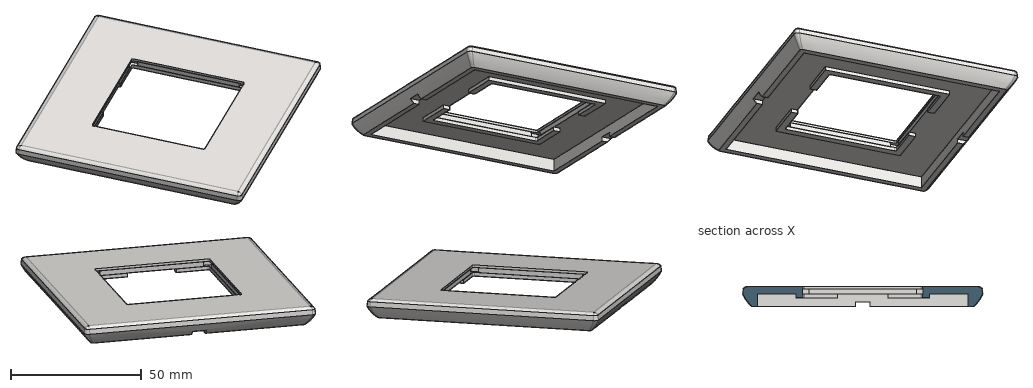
import cadquery as cq

side = 92.0
height = 7.7
widest_z = 4.9
shoulder_z = 6.8
shoulder_inset = 0.3
top_inset = 2.0
bottom_inset = 3.5
flank_bow = 0.4
round_inset = 0.8
round_z = 7.4
widest_corner = 1.7
top_corner = 0.1
bottom_corner = 0.8

window = 45.6
window_radius = 0.55
lip_z = 6.7
ledge_z = 4.8
groove_depth = 0.2
pocket_reach = 2.2
pocket_depth = 1.5

collar_wall = 2.8
collar_z = 3.3
rim_wall = 2.3
collar_notch = 19.3
rim_notch = 5.5
rim_notch_height = 1.7


def block(length, width, bottom, top):
    """Upright box centred on the Z axis between two levels."""
    return cq.Workplane("XY").workplane(offset=bottom).rect(length, width).extrude(top - bottom)


def rounded_square(inset, radius, level):
    """Horizontal rounded-square wire, set in from the widest outline."""
    width = side - 2 * inset
    column = block(width, width, level, level + height).edges("|Z").fillet(radius)
    return column.faces("<Z").wires().val()


def outer_body():
    """Square plate lofted as a bowed lower flank, a drafted edge and a rounded top edge."""
    bottom = rounded_square(bottom_inset, bottom_corner, 0)
    flank_corner = (bottom_corner + widest_corner) / 2
    flank = rounded_square(bottom_inset / 2 - flank_bow, flank_corner, widest_z / 2)
    widest = rounded_square(0, widest_corner, widest_z)
    shoulder = rounded_square(shoulder_inset, widest_corner - shoulder_inset, shoulder_z)
    top_round = rounded_square(round_inset, widest_corner - round_inset, round_z)
    top = rounded_square(top_inset, top_corner, height)

    lower = cq.Solid.makeLoft([bottom, flank, widest])
    edge = cq.Solid.makeLoft([widest, shoulder])
    upper = cq.Solid.makeLoft([shoulder, top_round, top])
    return cq.Workplane(lower).union(cq.Workplane(edge)).union(cq.Workplane(upper))


def underside_hollow():
    """Space between rim and collar, open below, leaving the gapped collar standing."""
    cavity_side = side - 2 * (bottom_inset + rim_wall)
    collar_side = window + 2 * collar_wall
    cavity = block(cavity_side, cavity_side, 0, ledge_z)
    collar = block(collar_side, collar_side, collar_z, ledge_z)
    gap = block(collar_side, collar_notch, collar_z, ledge_z)
    return cavity.cut(collar.cut(gap))


def window_cutter():
    """Rounded window opening with a shallow groove and corner pockets behind its lip."""
    opening = block(window, window, 0, height).edges("|Z").fillet(window_radius)
    groove_side = window + 2 * groove_depth
    groove = block(groove_side, groove_side, ledge_z, lip_z)
    cutter = opening.union(groove)
    pocket_side = pocket_reach + pocket_depth
    pocket_centre = window / 2 + (pocket_depth - pocket_reach) / 2
    for x_sign in (-1, 1):
        for y_sign in (-1, 1):
            pocket = block(pocket_side, pocket_side, ledge_z, lip_z)
            cutter = cutter.union(pocket.translate((x_sign * pocket_centre, y_sign * pocket_centre, 0)))
    return cutter


rim_notches = block(side, rim_notch, 0, rim_notch_height)
result = outer_body().cut(underside_hollow()).cut(window_cutter()).cut(rim_notches)